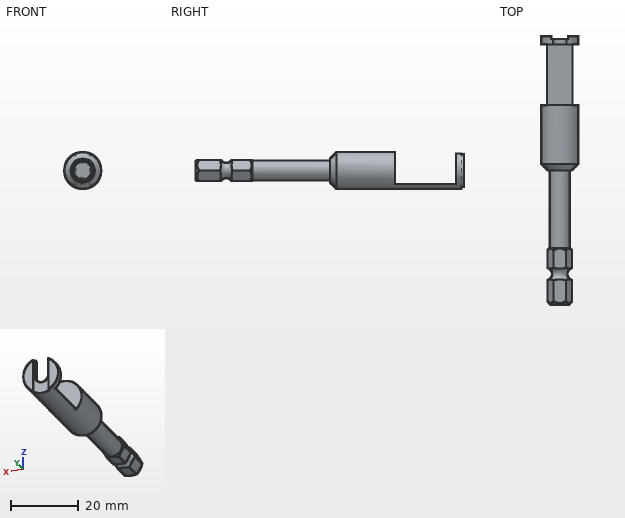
import cadquery as cq
import math

total_length = 80.0

body_radius = 5.5
body_start = 40.0
body_chamfer = 2.0
body_end = 59.4

hook_thickness = 2.5
strip_top_z = -4.0
slot_width = 4.2
groove_width = 5.0
groove_depth = 0.8

shank_diameter = 6.0
shank_radius = shank_diameter / 2

hex_flats = 6.3
hex_length = 17.0
hex_tip_radius = 2.7
hex_tip_chamfer = 1.1

neck_position = 9.2
neck_radius = 2.3
neck_arc_radius = 1.9

hook_face_y = total_length - hook_thickness


def turned(points):
    """Revolve a closed (radius, Y) outline about the Y axis."""
    return cq.Workplane("XY").polyline(points).close().revolve(360, (0, 0), (0, 1))


def make_body():
    """Cylinder with a coned base, reaching the far end of the hook."""
    base_radius = body_radius - body_chamfer
    return turned([
        (0, body_start),
        (base_radius, body_start),
        (body_radius, body_start + body_chamfer),
        (body_radius, total_length),
        (0, total_length),
    ])


def cut_hook(body):
    """Leave a thin strip and a slotted end disc beyond the body."""
    gap_length = hook_face_y - body_end
    gap_height = body_radius - strip_top_z
    gap = cq.Workplane("XY").box(
        2 * body_radius, gap_length, gap_height, centered=(True, False, False)
    ).translate((0, body_end, strip_top_z))

    slot = cq.Workplane("XY").box(
        slot_width, hook_thickness, body_radius, centered=(True, False, False)
    ).translate((0, hook_face_y, 0))
    slot_round = cq.Workplane("XZ", origin=(0, total_length, 0)).circle(slot_width / 2).extrude(hook_thickness)

    groove = cq.Workplane("XY").box(
        groove_width, groove_depth, 2 * body_radius, centered=(True, False, True)
    ).translate((0, total_length - groove_depth, 0))

    return body.cut(gap).cut(slot).cut(slot_round).cut(groove)


def make_shank():
    """Round rod joining the hex drive to the body, starting inside the hex."""
    return turned([
        (0, neck_position),
        (shank_radius, neck_position),
        (shank_radius, body_start),
        (0, body_start),
    ])


def make_hex_drive():
    """Hexagon with corners on the X axis and coned ends."""
    corner_radius = hex_flats / math.sqrt(3)
    inner_chamfer = corner_radius - shank_radius
    hexagon = cq.Workplane("XZ").polygon(6, 2 * corner_radius).extrude(-hex_length)
    envelope = turned([
        (0, 0),
        (hex_tip_radius, 0),
        (corner_radius, hex_tip_chamfer),
        (corner_radius, hex_length - inner_chamfer),
        (shank_radius, hex_length),
        (0, hex_length),
    ])
    return hexagon.intersect(envelope)


def make_locking_groove():
    """Ring of circular section that necks down the hex drive."""
    return (
        cq.Workplane("XY")
        .moveTo(neck_radius + neck_arc_radius, neck_position)
        .circle(neck_arc_radius)
        .revolve(360, (0, 0), (0, 1))
    )


tool = cut_hook(make_body()).union(make_shank()).union(make_hex_drive())
result = tool.cut(make_locking_groove())